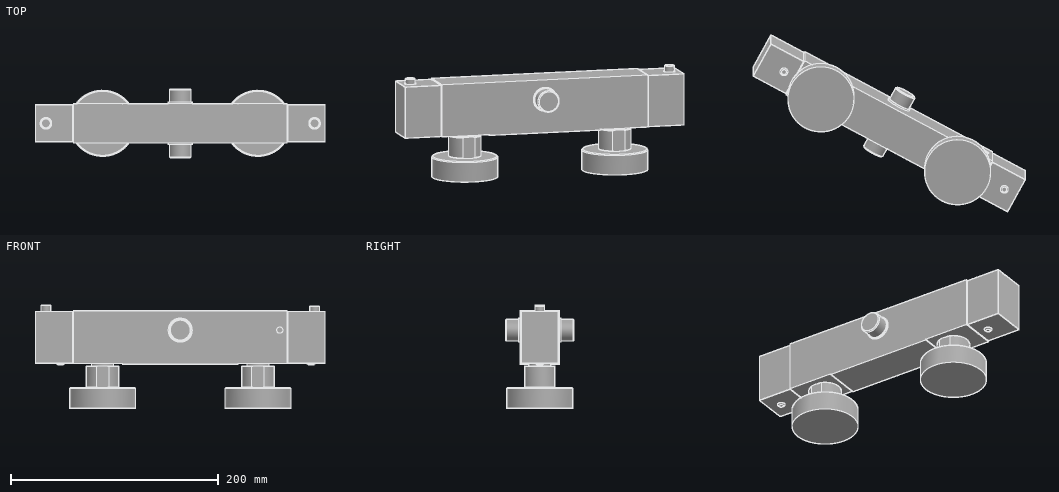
import cadquery as cq

total_length = 279.05
outlet_span = 66.5
total_height = 99.45
top_level = 24.0
bottom_level = top_level - total_height

body_length = 205.8
body_width = 38.0
body_top = 18.9
body_bottom = -32.2
pad_length = 111.0
pad_depth = 0.8

outlet_diameter = 21.2
outlet_chamfer = 1.0
collar_diameter = 23.2
collar_height = 1.5

recess_x = 95.9
recess_diameter = 6.0
recess_depth = 0.5

handle_width = 36.0
handle_top = 18.2
handle_bottom = -32.1
handle_gap = 0.5
spigot_inset = 2.0
handle_chamfer = 0.25
button_diameter = 9.5
button_well_diameter = 11.2
button_well_depth = 1.0
button_offset = 129.5
button_chamfer = 0.4
left_button_top = top_level
right_button_top = top_level - 0.8
nub_diameter = 7.5
nub_height = 1.7
nub_chamfer = 1.4
left_nub_x = -115.4
right_nub_x = 126.1

union_spacing = 149.8
flange_diameter = 63.8
flange_height = 20.2
flange_chamfer = 1.0
nut_diameter = 31.7
nut_across_flats = 29.3
nut_top = -34.5
nut_chamfer = 0.6
neck_diameter = 21.5


def box_between(x_min, x_max, width, z_min, z_max):
    """Box centred on Y that fills the given X and Z ranges."""
    box = cq.Workplane("XY").box(x_max - x_min, width, z_max - z_min, centered=(False, True, False))
    return box.translate((x_min, 0, z_min))


def upright_cylinder(x, diameter, z_min, z_max):
    """Vertical cylinder at the given X."""
    return cq.Workplane("XY", origin=(x, 0, z_min)).circle(diameter / 2).extrude(z_max - z_min)


def make_valve_body():
    """Square bar with a foot pad, two side outlets with collars, and short end spigots for the handles."""
    half_length = body_length / 2
    body = box_between(-half_length, half_length, body_width, body_bottom, body_top)
    pad = box_between(-pad_length / 2, pad_length / 2, body_width, body_bottom - pad_depth, body_bottom)
    collar_end = body_width / 2 + collar_height
    collars = cq.Workplane("XZ").circle(collar_diameter / 2).extrude(collar_end, both=True)
    outlets = (
        cq.Workplane("XZ")
        .circle(outlet_diameter / 2)
        .extrude(outlet_span / 2, both=True)
        .faces("<Y or >Y")
        .chamfer(outlet_chamfer)
    )
    recess = (
        cq.Workplane("XZ", origin=(recess_x, -body_width / 2, 0))
        .circle(recess_diameter / 2)
        .extrude(-recess_depth)
    )
    spigot_end = half_length + handle_gap
    spigots = box_between(
        -spigot_end,
        spigot_end,
        handle_width - 2 * spigot_inset,
        handle_bottom + spigot_inset,
        handle_top - spigot_inset,
    )
    return body.union(spigots).union(pad).union(collars).union(outlets).cut(recess)


def make_handle(side, button_top, nub_x):
    """End handle: side is -1 for left, 1 for right.

    A button stands in a shallow round well on top, and a small nub hangs below.
    """
    inner_x = side * (body_length / 2 + handle_gap)
    outer_x = side * total_length / 2
    block = box_between(min(inner_x, outer_x), max(inner_x, outer_x), handle_width, handle_bottom, handle_top)
    block = block.edges().chamfer(handle_chamfer)
    button_x = side * button_offset
    well_floor = handle_top - button_well_depth
    well = upright_cylinder(button_x, button_well_diameter, well_floor, handle_top)
    button = upright_cylinder(button_x, button_diameter, well_floor, button_top)
    button = button.faces(">Z").chamfer(button_chamfer)
    nub = upright_cylinder(nub_x, nub_diameter, handle_bottom - nub_height, handle_bottom)
    nub = nub.faces("<Z").chamfer(nub_chamfer)
    return block.cut(well).union(button).union(nub)


def make_wall_union(x):
    """Round flange, nut with two flats, and neck that meets the underside of the body."""
    flange_top = bottom_level + flange_height
    flange = upright_cylinder(x, flange_diameter, bottom_level, flange_top)
    flange = flange.faces(">Z").chamfer(flange_chamfer)
    nut = upright_cylinder(x, nut_diameter, flange_top, nut_top)
    nut = nut.faces("<Z or >Z").chamfer(nut_chamfer)
    flats = box_between(x - nut_diameter, x + nut_diameter, nut_across_flats, flange_top, nut_top)
    neck = upright_cylinder(x, neck_diameter, nut_top, body_bottom)
    return flange.union(nut.intersect(flats)).union(neck)


valve_body = make_valve_body()
left_handle = make_handle(-1, left_button_top, left_nub_x)
right_handle = make_handle(1, right_button_top, right_nub_x)
wall_unions = [make_wall_union(side * union_spacing / 2) for side in (-1, 1)]

result = cq.Compound.makeCompound(
    [
        valve_body.val(),
        left_handle.val(),
        right_handle.val(),
        *[wall_union.val() for wall_union in wall_unions],
    ]
)